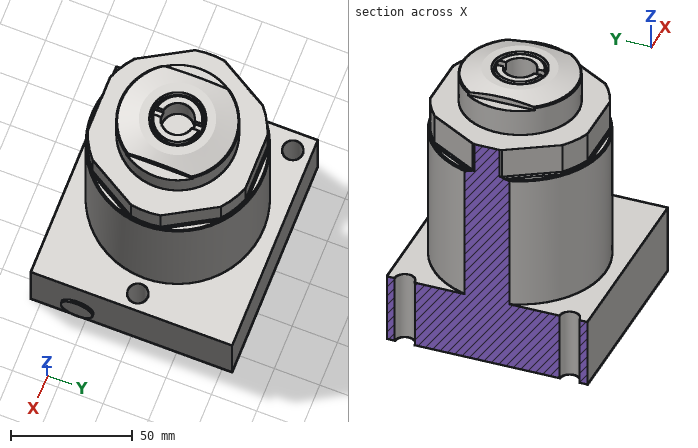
import cadquery as cq
import math

TOTAL_HEIGHT = 123.57

BASE_LENGTH = 96.84
BASE_WIDTH = 88.9
BASE_HEIGHT = 31.5
AXIS_TO_LEFT_SIDE = BASE_WIDTH / 2

MOUNT_HOLE_DIAMETER = 8.73
CORNER_HOLE_INSET = 7.94
SIDE_HOLE_X = 45.2

PAD_DIAMETER = 14.0
PAD_THICKNESS = 1.03
PAD_Y = -23.8
PAD_Z = 9.6

BODY_RADIUS = 37.95
BODY_TOP = 93.5
BODY_CHAMFER = 0.5

NUT_ACROSS_FLATS = 69.6
NUT_CORNER_RADIUS = 37.0
NUT_TOP = 107.5
NUT_FLARE = 0.7

CAP_RADIUS = 25.35
CAP_EDGE_Z = 120.4
CAP_EDGE_WIDTH = 0.4
CAP_EDGE_RISE = 0.5
CAP_FLAT_TOP_RADIUS = 15.9
CAP_ACROSS_FLATS = 41.2
CAP_LEDGE_Z = 119.4

SCREW_RADIUS = 10.9
GROOVE_DEPTH = 0.85
SOCKET_DIAMETER = 14.1
SOCKET_DEPTH = 12.7
SLOT_WIDTH = 3.3
SLOT_DEPTH = 3.3


def cylinder(radius, z_bottom, z_top):
    return cq.Workplane("XY").workplane(offset=z_bottom).circle(radius).extrude(z_top - z_bottom)


def make_base():
    left = -AXIS_TO_LEFT_SIDE
    right = left + BASE_LENGTH
    block = cq.Workplane("XY").box(BASE_LENGTH, BASE_WIDTH, BASE_HEIGHT, centered=(False, True, False))
    block = block.translate((left, 0, 0))

    corner_x = left + CORNER_HOLE_INSET
    corner_y = BASE_WIDTH / 2 - CORNER_HOLE_INSET
    hole_centres = [(corner_x, corner_y), (corner_x, -corner_y), (SIDE_HOLE_X, 0)]
    holes = cq.Workplane("XY").pushPoints(hole_centres).circle(MOUNT_HOLE_DIAMETER / 2).extrude(BASE_HEIGHT)

    pad_plane = cq.Workplane("YZ", origin=(right, PAD_Y, PAD_Z))
    pad = pad_plane.circle(PAD_DIAMETER / 2).extrude(PAD_THICKNESS)
    return block.cut(holes).union(pad)


def make_body():
    return cylinder(BODY_RADIUS, BASE_HEIGHT, BODY_TOP).faces(">Z").edges().chamfer(BODY_CHAMFER)


def nut_layer(z_bottom, z_top, foot_growth=0.0):
    """Hexagon trimmed by a circle; the outline grows outward by foot_growth at z_bottom."""
    height = z_top - z_bottom
    taper = math.degrees(math.atan2(foot_growth, height))
    hexagon_diameter = (NUT_ACROSS_FLATS + 2 * foot_growth) / math.cos(math.pi / 6)
    plane = cq.Workplane("XY").workplane(offset=z_bottom)
    hexagon = plane.polygon(6, hexagon_diameter).extrude(height, taper=taper)
    trim = plane.circle(NUT_CORNER_RADIUS + foot_growth).extrude(height, taper=taper)
    return hexagon.intersect(trim)


def make_nut():
    flare_top = BODY_TOP + NUT_FLARE
    foot = nut_layer(BODY_TOP, flare_top, NUT_FLARE)
    return foot.union(nut_layer(flare_top, NUT_TOP))


def make_cap():
    profile = [
        (0, NUT_TOP),
        (CAP_RADIUS, NUT_TOP),
        (CAP_RADIUS, CAP_EDGE_Z),
        (CAP_RADIUS - CAP_EDGE_WIDTH, CAP_EDGE_Z + CAP_EDGE_RISE),
        (CAP_FLAT_TOP_RADIUS, TOTAL_HEIGHT),
        (0, TOTAL_HEIGHT),
    ]
    cap = cq.Workplane("XZ").polyline(profile).close().revolve(360, (0, 0, 0), (0, 1, 0))

    cut_height = TOTAL_HEIGHT - CAP_LEDGE_Z
    for side in (-1, 1):
        cutter = cq.Workplane("XY").box(CAP_RADIUS, 2 * CAP_RADIUS, cut_height, centered=(True, True, False))
        cutter_x = side * (CAP_ACROSS_FLATS + CAP_RADIUS) / 2
        cap = cap.cut(cutter.translate((cutter_x, 0, CAP_LEDGE_Z)))
    return cap


def cut_screw_details(part):
    """Cut the V groove around the screw, its round socket and the driver slot."""
    groove_profile = [
        (SCREW_RADIUS - GROOVE_DEPTH, TOTAL_HEIGHT),
        (SCREW_RADIUS, TOTAL_HEIGHT - GROOVE_DEPTH),
        (SCREW_RADIUS + GROOVE_DEPTH, TOTAL_HEIGHT),
    ]
    groove = cq.Workplane("XZ").polyline(groove_profile).close().revolve(360, (0, 0, 0), (0, 1, 0))
    socket = cylinder(SOCKET_DIAMETER / 2, TOTAL_HEIGHT - SOCKET_DEPTH, TOTAL_HEIGHT)

    slot_floor = TOTAL_HEIGHT - SLOT_DEPTH
    slot = cq.Workplane("XY").box(SLOT_WIDTH, 2 * SCREW_RADIUS, SLOT_DEPTH, centered=(True, True, False))
    slot = slot.translate((0, 0, slot_floor)).intersect(cylinder(SCREW_RADIUS, slot_floor, TOTAL_HEIGHT))
    return part.cut(groove).cut(socket).cut(slot)


solid_part = make_base().union(make_body()).union(make_nut()).union(make_cap())
result = cut_screw_details(solid_part)